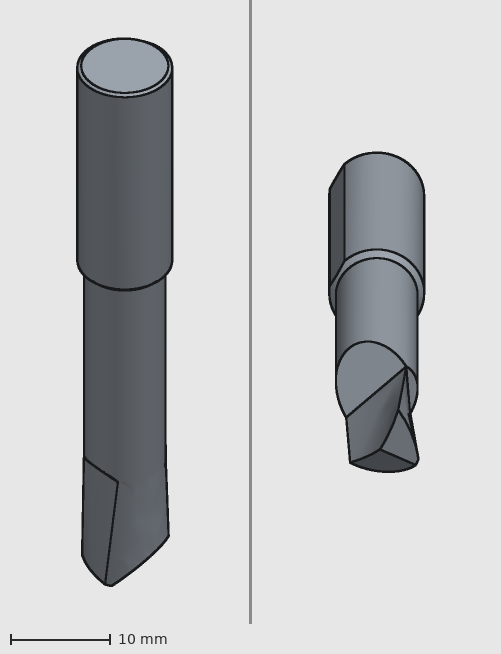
import cadquery as cq
import math

total_length = 63.5
shank_diameter = 9.525
clamp_flat_y = 4.51
top_chamfer_width = 0.4
top_chamfer_height = 0.25

neck_diameter = 8.2
neck_start_depth = 25.4
blade_start_depth = 49.85
neck_cut_angle = 46.0

end_relief_angle = 7.5
corner_bevel_height = 4.45
corner_bevel_start_x = 0.15
corner_bevel_end_x = 4.55

root_edge_angle = 198.0
root_heel_angle = 279.5
root_far_angle = 20.0
tip_edge = (-4.53, 0.0)
tip_heel = (-0.6, -4.48)
tip_back = (3.25, -3.3)
tip_far = (4.7, 0.3)
tip_flank_middle = (-2.85, -2.4)
tip_rake_middle = (1.0, -0.4)

shank_radius = shank_diameter / 2
neck_radius = neck_diameter / 2
neck_start_z = total_length - neck_start_depth
blade_root_z = total_length - blade_start_depth
cut_size = 4 * shank_diameter


def on_neck(angle):
    """Point on the neck circle at an angle in degrees."""
    turn = math.radians(angle)
    return (neck_radius * math.cos(turn), neck_radius * math.sin(turn))


def make_shank():
    """Chamfered shank with a 45 degree cone down to the neck and a flat on +Y."""
    cone_height = shank_radius - neck_radius
    shank = (
        cq.Workplane("XZ")
        .moveTo(0, neck_start_z)
        .lineTo(neck_radius, neck_start_z)
        .lineTo(shank_radius, neck_start_z + cone_height)
        .lineTo(shank_radius, total_length - top_chamfer_height)
        .lineTo(shank_radius - top_chamfer_width, total_length)
        .lineTo(0, total_length)
        .close()
        .revolve(360, (0, 0, 0), (0, 1, 0))
    )
    beyond_flat = cq.Workplane("XY").box(cut_size, cut_size, total_length, centered=(True, False, False))
    return shank.cut(beyond_flat.translate((0, clamp_flat_y, 0)))


def sloped_cut(first_angle, second_angle):
    """Wedge that trims the neck end at a slope outside the chord between two angles."""
    outward = (first_angle + second_angle) / 2
    half_span = math.radians(second_angle - first_angle) / 2
    chord_distance = neck_radius * math.cos(half_span)
    wedge_height = neck_diameter * math.tan(math.radians(neck_cut_angle))
    wedge = (
        cq.Workplane("XZ")
        .polyline([(0, 0), (neck_diameter, 0), (neck_diameter, wedge_height)])
        .close()
        .extrude(cut_size / 2, both=True)
    )
    return wedge.translate((chord_distance, 0, blade_root_z)).rotate((0, 0, 0), (0, 0, 1), outward)


def make_neck():
    neck = cq.Workplane("XY").workplane(offset=blade_root_z).circle(neck_radius)
    neck = neck.extrude(neck_start_z - blade_root_z)
    neck = neck.cut(sloped_cut(root_far_angle, root_edge_angle))
    return neck.cut(sloped_cut(root_edge_angle, root_heel_angle))


def side(first, last, middle=None):
    """Straight edge, or an arc when a middle point is given."""
    if middle is None:
        return cq.Edge.makeLine(first, last)
    return cq.Edge.makeThreePointArc(first, middle, last)


def at_height(z, point):
    return cq.Vector(point[0], point[1], z)


def make_blade():
    """Twisted blade ruled between a root and a tip outline, each made of flank, round back and rake face."""
    root_back_angle = (root_heel_angle - 360 + root_far_angle) / 2
    root_angles = (root_edge_angle, root_heel_angle, root_back_angle, root_far_angle)
    edge, heel, back, far = [at_height(blade_root_z, on_neck(angle)) for angle in root_angles]
    root = cq.Wire.assembleEdges([side(edge, heel), side(heel, far, back), side(far, edge)])

    tip_corners = (tip_edge, tip_heel, tip_back, tip_far)
    edge, heel, back, far = [at_height(0, corner) for corner in tip_corners]
    tip = cq.Wire.assembleEdges([
        side(edge, heel, at_height(0, tip_flank_middle)),
        side(heel, far, back),
        side(far, edge, at_height(0, tip_rake_middle)),
    ])
    ruled = True
    return cq.Workplane(cq.Solid.makeLoft([root, tip], ruled))


def make_end_cut():
    """Block below the end face, tilted so that the face clears behind the cutting edge."""
    below_end = cq.Workplane("XY").box(cut_size, cut_size, cut_size).translate((0, 0, -cut_size / 2))
    return below_end.rotate((0, 0, 0), (1, 0, 0), -end_relief_angle)


def make_corner_cut():
    """Prism outside the bevelled +X corner, tilted by the same relief angle."""
    bevel_run = corner_bevel_end_x - corner_bevel_start_x
    return (
        cq.Workplane("XZ")
        .polyline([
            (corner_bevel_start_x - bevel_run, -corner_bevel_height),
            (corner_bevel_end_x + bevel_run, 2 * corner_bevel_height),
            (corner_bevel_end_x + bevel_run, -corner_bevel_height),
        ])
        .close()
        .extrude(cut_size / 2, both=True)
        .rotate((0, 0, 0), (1, 0, 0), -end_relief_angle)
    )

blade = make_blade().cut(make_end_cut()).cut(make_corner_cut())
result = make_shank().union(make_neck()).union(blade)